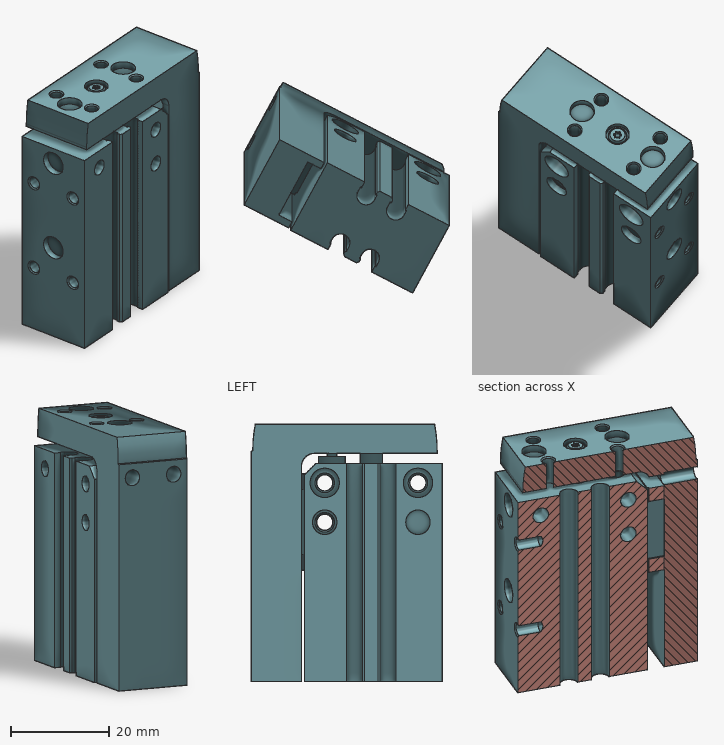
import cadquery as cq
import math


TOTAL_DEPTH = 39.0
TOTAL_HEIGHT = 52.5

HOUSING_WIDTH = 16.0
HOUSING_DEPTH = 28.15
HOUSING_HEIGHT = 44.5
HOUSING_CHAMFER = 2.35

TABLE_WIDTH = 15.5
TABLE_INNER_Y = 28.7
TABLE_UNDERSIDE_Z = 46.5
TABLE_FRONT_Y = 1.05
TABLE_CORNER_RADIUS = 2.6
CROWN_START_Z = 47.1
CROWN_INSET = 0.5
BACK_LEDGE = 0.3
BACK_LEDGE_HEIGHT = 0.15

ROD_Y = 14.5
TOUCH = 0.005

TAP_DIAMETER = 2.45
TAP_MOUTH = 3.0
TAP_CONE_ANGLE = 118.0
LOCATING_DIAMETER = 5.0
LOCATING_DEPTH = 1.5

FRONT_TAP_X = 5.0
FRONT_TAP_DEPTH = 5.0
FRONT_TAP_HEIGHTS = (14.5, 34.5)
FRONT_LOCATING_HEIGHTS = (21.0, 41.0)

SIDE_HOLE_DIAMETER = 3.25
SIDE_HOLE_MOUTH = 4.0
BOLT_COUNTERBORE = 6.0
BOLT_COUNTERBORE_DEPTH = 3.3
SIDE_HOLE_YS = (5.0, 24.0)
BOLT_Z = 40.55
PORT_Z = 32.5

SLOT_OFFSET = 3.4
SLOT_MOUTH = 3.25
SLOT_LIP = 1.35
SLOT_BORE = 3.8
SLOT_ARC_DEPTH = 2.4
RIB_CHAMFER = 0.4

BUMPER_Y = 22.5
BUMPER_DIAMETER = 5.5
BUMPER_HEIGHT = 1.4
BUMPER_TIP_DIAMETER = 2.0

GUIDE_WIDTH = 10.5
GUIDE_CAP_WIDTH = 11.55
GUIDE_BOTTOM_Z = 22.7
GUIDE_TOP_Z = 42.4
GUIDE_CAP_LENGTH = 3.2
GUIDE_CAP_CLEARANCE = 0.25

ROD_DIAMETER = 4.6
TABLE_TAP_X = 4.5
TABLE_TAP_YS = (7.0, 22.0)
TABLE_LOCATING_YS = (5.5, 23.5)
UPRIGHT_HOLE_X = 4.65
UPRIGHT_HOLE_Z = 44.0
UPRIGHT_HOLE_DIAMETER = 3.25
CHANNEL_WIDTH = 12.6
CHANNEL_TOP_Z = 46.05
CHANNEL_CORNER_RADIUS = 3.15
CHANNEL_FLOOR_Y = 31.75
SCREW_RECESS_DIAMETER = 4.8
SCREW_RECESS_DEPTH = 1.0
SCREW_HEAD_DIAMETER = 3.8
SCREW_HEAD_HEIGHT = 0.75
SCREW_HEAD_CHAMFER = 0.35
SOCKET_CORE = 1.05
SOCKET_DIAMETER = 1.7
SOCKET_LOBE = 0.4
SOCKET_LOBE_COUNT = 6
SOCKET_DEPTH = 0.5


def box(x_size, y_range, z_range):
    """Box centred on X = 0."""
    y0, y1 = y_range
    z0, z1 = z_range
    return cq.Workplane("XY").box(x_size, y1 - y0, z1 - z0).translate((0, (y0 + y1) / 2, (z0 + z1) / 2))


def rod_along(start, direction, diameter, length):
    """Straight cylinder."""
    return cq.Workplane(cq.Solid.makeCylinder(diameter / 2, length, cq.Vector(*start), cq.Vector(*direction)))


def cone_along(start, direction, start_diameter, end_diameter, length):
    """Cone that runs from one diameter to another."""
    return cq.Workplane(
        cq.Solid.makeCone(
            start_diameter / 2, end_diameter / 2, length, cq.Vector(*start), cq.Vector(*direction)
        )
    )


def hole(start, direction, diameter, mouth, depth):
    """Cutter for a straight hole with a 45 degree countersink at its mouth."""
    countersink = cone_along(start, direction, mouth, diameter, (mouth - diameter) / 2)
    return rod_along(start, direction, diameter, depth).union(countersink)


def blind_tap(start, direction, depth):
    """Cutter for a tapped hole that ends in a drill point."""
    point_length = TAP_DIAMETER / 2 / math.tan(math.radians(TAP_CONE_ANGLE / 2))
    point_start = cq.Vector(*start) + cq.Vector(*direction) * depth
    point = cone_along(point_start.toTuple(), direction, TAP_DIAMETER, 0, point_length)
    return hole(start, direction, TAP_DIAMETER, TAP_MOUTH, depth).union(point)


def housing_block():
    block = box(HOUSING_WIDTH, (0, HOUSING_DEPTH), (0, HOUSING_HEIGHT))
    return block.edges("|X and >Y and >Z").chamfer(HOUSING_CHAMFER)


def slot_cutter(slot_y):
    """Undercut slot with a round bottom, open on the -X side and running the full height."""
    face_x = -HOUSING_WIDTH / 2
    lip_x = face_x + SLOT_LIP
    arc_x = face_x + SLOT_ARC_DEPTH
    bore_radius = SLOT_BORE / 2
    mouth_half = SLOT_MOUTH / 2
    return (
        cq.Workplane("XY")
        .moveTo(face_x, slot_y - mouth_half)
        .lineTo(lip_x, slot_y - mouth_half)
        .lineTo(lip_x, slot_y - bore_radius)
        .lineTo(arc_x, slot_y - bore_radius)
        .threePointArc((arc_x + bore_radius, slot_y), (arc_x, slot_y + bore_radius))
        .lineTo(lip_x, slot_y + bore_radius)
        .lineTo(lip_x, slot_y + mouth_half)
        .lineTo(face_x, slot_y + mouth_half)
        .close()
        .extrude(HOUSING_HEIGHT)
    )


def rib_trim():
    """Sets the rib between the slots back to the table width and bevels its two edges."""
    face_x = -HOUSING_WIDTH / 2
    rib_x = -TABLE_WIDTH / 2
    edge = SLOT_OFFSET - SLOT_MOUTH / 2
    return (
        cq.Workplane("XY")
        .polyline(
            [
                (face_x, ROD_Y - edge),
                (rib_x + RIB_CHAMFER, ROD_Y - edge),
                (rib_x, ROD_Y - edge + RIB_CHAMFER),
                (rib_x, ROD_Y + edge - RIB_CHAMFER),
                (rib_x + RIB_CHAMFER, ROD_Y + edge),
                (face_x, ROD_Y + edge),
            ]
        )
        .close()
        .extrude(HOUSING_HEIGHT)
    )


def cut_sensor_slots(body):
    cutters = rib_trim()
    for slot_y in (ROD_Y - SLOT_OFFSET, ROD_Y + SLOT_OFFSET):
        cutters = cutters.union(slot_cutter(slot_y))
    return body.cut(cutters).cut(cutters.mirror("YZ"))


def cut_front_holes(body):
    inward = (0, 1, 0)
    for z in FRONT_LOCATING_HEIGHTS:
        body = body.cut(rod_along((0, 0, z), inward, LOCATING_DIAMETER, LOCATING_DEPTH))
    for z in FRONT_TAP_HEIGHTS:
        for x in (-FRONT_TAP_X, FRONT_TAP_X):
            body = body.cut(blind_tap((x, 0, z), inward, FRONT_TAP_DEPTH))
    return body


def recessed_through_hole(y, z, recess_diameter, recess_depth):
    """Cutter for a hole along X with a countersunk step below a recess in the -X face."""
    face_x = -HOUSING_WIDTH / 2
    inward = (1, 0, 0)
    recess = rod_along((face_x, y, z), inward, recess_diameter, recess_depth)
    bore = hole(
        (face_x + recess_depth, y, z), inward, SIDE_HOLE_DIAMETER, SIDE_HOLE_MOUTH, HOUSING_WIDTH
    )
    return recess.union(bore)


def cut_side_holes(body):
    front_y, back_y = SIDE_HOLE_YS
    for y in SIDE_HOLE_YS:
        body = body.cut(recessed_through_hole(y, BOLT_Z, BOLT_COUNTERBORE, BOLT_COUNTERBORE_DEPTH))
    body = body.cut(recessed_through_hole(back_y, PORT_Z, LOCATING_DIAMETER, LOCATING_DEPTH))
    blind_start = (-HOUSING_WIDTH / 2, front_y, PORT_Z)
    blind_port = rod_along(blind_start, (1, 0, 0), LOCATING_DIAMETER, LOCATING_DEPTH)
    return body.cut(blind_port)


def bumper():
    """Stepped bumper on the housing top that the table lands on."""
    up = (0, 0, 1)
    base_z = HOUSING_HEIGHT - TOUCH
    disc = rod_along((0, BUMPER_Y, base_z), up, BUMPER_DIAMETER, BUMPER_HEIGHT + TOUCH)
    tip = rod_along((0, BUMPER_Y, base_z), up, BUMPER_TIP_DIAMETER, TABLE_UNDERSIDE_Z - base_z)
    return disc.union(tip)


def guide_block():
    """Linear guide block on the back face, reaching the channel floor, with a wider cap at each end."""
    block = box(GUIDE_WIDTH, (HOUSING_DEPTH - TOUCH, CHANNEL_FLOOR_Y), (GUIDE_BOTTOM_Z, GUIDE_TOP_Z))
    cap_y = (HOUSING_DEPTH + GUIDE_CAP_CLEARANCE, CHANNEL_FLOOR_Y)
    for cap_bottom in (GUIDE_BOTTOM_Z, GUIDE_TOP_Z - GUIDE_CAP_LENGTH):
        block = block.union(box(GUIDE_CAP_WIDTH, cap_y, (cap_bottom, cap_bottom + GUIDE_CAP_LENGTH)))
    return block


def make_housing():
    body = cut_sensor_slots(housing_block())
    body = cut_front_holes(body)
    body = cut_side_holes(body)
    return body.union(bumper()).union(guide_block())


def crown_middle():
    """Inward travel and height of the middle point of the crown arc, tangent to vertical."""
    height = TOTAL_HEIGHT - CROWN_START_Z
    radius = (height**2 + CROWN_INSET**2) / (2 * CROWN_INSET)
    half_angle = math.asin(height / radius) / 2
    return radius * (1 - math.cos(half_angle)), CROWN_START_Z + radius * math.sin(half_angle)


def table_block():
    """L-shaped profile with crowned ends, extruded across the width."""
    middle_inset, middle_z = crown_middle()
    back_y = TOTAL_DEPTH - BACK_LEDGE
    return (
        cq.Workplane("YZ")
        .moveTo(TABLE_INNER_Y, 0)
        .lineTo(TOTAL_DEPTH, 0)
        .lineTo(TOTAL_DEPTH, CROWN_START_Z - BACK_LEDGE_HEIGHT)
        .lineTo(back_y, CROWN_START_Z)
        .threePointArc((back_y - middle_inset, middle_z), (back_y - CROWN_INSET, TOTAL_HEIGHT))
        .lineTo(TABLE_FRONT_Y + CROWN_INSET, TOTAL_HEIGHT)
        .threePointArc((TABLE_FRONT_Y + middle_inset, middle_z), (TABLE_FRONT_Y, CROWN_START_Z))
        .lineTo(TABLE_FRONT_Y, TABLE_UNDERSIDE_Z)
        .lineTo(TABLE_INNER_Y - TABLE_CORNER_RADIUS, TABLE_UNDERSIDE_Z)
        .radiusArc((TABLE_INNER_Y, TABLE_UNDERSIDE_Z - TABLE_CORNER_RADIUS), TABLE_CORNER_RADIUS)
        .close()
        .extrude(TABLE_WIDTH / 2, both=True)
    )


def cut_guide_channel(body):
    """Channel for the guide block, open at the bottom and rounded at its two upper corners."""
    start_y = TABLE_INNER_Y - TABLE_CORNER_RADIUS
    channel = box(CHANNEL_WIDTH, (start_y, CHANNEL_FLOOR_Y), (0, CHANNEL_TOP_Z))
    return body.cut(channel.edges("|Y and >Z").fillet(CHANNEL_CORNER_RADIUS))


def cut_upright_holes(body):
    length = TOTAL_DEPTH - CHANNEL_FLOOR_Y
    for x in (-UPRIGHT_HOLE_X, UPRIGHT_HOLE_X):
        start = (x, CHANNEL_FLOOR_Y, UPRIGHT_HOLE_Z)
        body = body.cut(rod_along(start, (0, 1, 0), UPRIGHT_HOLE_DIAMETER, length))
    return body


def cut_top_holes(body):
    down = (0, 0, -1)
    thickness = TOTAL_HEIGHT - TABLE_UNDERSIDE_Z
    for y in TABLE_LOCATING_YS:
        body = body.cut(rod_along((0, y, TOTAL_HEIGHT), down, LOCATING_DIAMETER, LOCATING_DEPTH))
    for y in TABLE_TAP_YS:
        for x in (-TABLE_TAP_X, TABLE_TAP_X):
            body = body.cut(hole((x, y, TOTAL_HEIGHT), down, TAP_DIAMETER, TAP_MOUTH, thickness))
    return body.cut(rod_along((0, ROD_Y, TOTAL_HEIGHT), down, SCREW_RECESS_DIAMETER, SCREW_RECESS_DEPTH))


def screw_head():
    """Chamfered screw head with a six-lobe socket, seated in its recess."""
    seat_z = TOTAL_HEIGHT - SCREW_RECESS_DEPTH - TOUCH
    head_top = seat_z + TOUCH + SCREW_HEAD_HEIGHT
    head = rod_along((0, ROD_Y, seat_z), (0, 0, 1), SCREW_HEAD_DIAMETER, head_top - seat_z)
    head = head.faces(">Z").chamfer(SCREW_HEAD_CHAMFER)
    down = (0, 0, -1)
    socket = rod_along((0, ROD_Y, head_top), down, SOCKET_CORE, SOCKET_DEPTH)
    lobe_circle = (SOCKET_DIAMETER - SOCKET_LOBE) / 2
    for index in range(SOCKET_LOBE_COUNT):
        angle = 2 * math.pi * index / SOCKET_LOBE_COUNT
        lobe_x = lobe_circle * math.cos(angle)
        lobe_y = ROD_Y + lobe_circle * math.sin(angle)
        socket = socket.union(rod_along((lobe_x, lobe_y, head_top), down, SOCKET_LOBE, SOCKET_DEPTH))
    return head.cut(socket)


def piston_rod():
    """Rod between the table and the housing top."""
    length = TABLE_UNDERSIDE_Z + TOUCH - HOUSING_HEIGHT
    return rod_along((0, ROD_Y, HOUSING_HEIGHT), (0, 0, 1), ROD_DIAMETER, length)


def make_table():
    body = cut_guide_channel(table_block())
    body = cut_upright_holes(body)
    body = cut_top_holes(body)
    return body.union(screw_head()).union(piston_rod())


housing = make_housing()
table = make_table()
result = cq.Compound.makeCompound([housing.val(), table.val()])